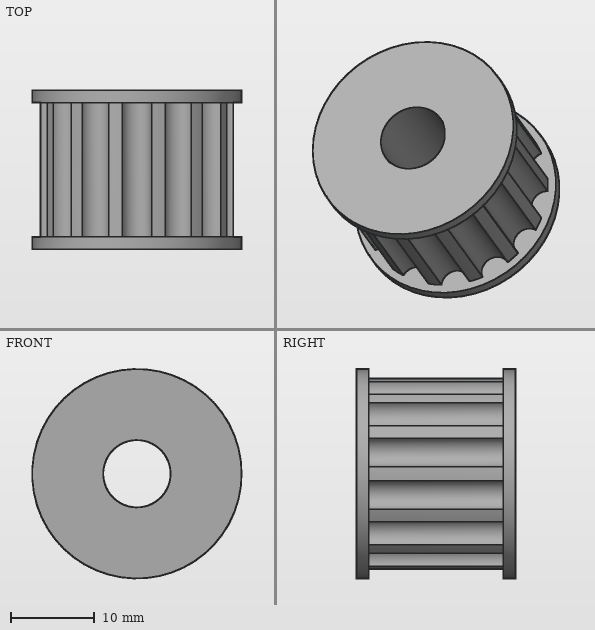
import cadquery as cq

flange_diameter = 25.0
flange_thickness = 1.5
belt_width = 16.0
bore_diameter = 8.0

tooth_count = 14
toothed_diameter = 23.0
groove_radius = 1.75
first_groove_angle = 90

total_width = belt_width + 2 * flange_thickness
front_y = -total_width / 2
toothed_radius = toothed_diameter / 2


def disc_along_y(diameter, start_y, length):
    """Solid disc on the pulley axis, running toward +Y from start_y."""
    plane = cq.Workplane("XZ", origin=(0, start_y, 0))
    return plane.circle(diameter / 2).extrude(-length)


def toothed_section():
    """Cylinder with round grooves centred on its surface, one of them at +Z."""
    start_y = front_y + flange_thickness
    grooves = (
        cq.Workplane("XZ", origin=(0, start_y, 0))
        .polarArray(toothed_radius, first_groove_angle, 360, tooth_count)
        .circle(groove_radius)
        .extrude(-belt_width)
    )
    return disc_along_y(toothed_diameter, start_y, belt_width).cut(grooves)


def flange(start_y):
    """Plain disc that keeps the belt on the teeth."""
    return disc_along_y(flange_diameter, start_y, flange_thickness)


bore = disc_along_y(bore_diameter, front_y, total_width)
back_flange_y = front_y + flange_thickness + belt_width

result = toothed_section().union(flange(front_y)).union(flange(back_flange_y)).cut(bore)